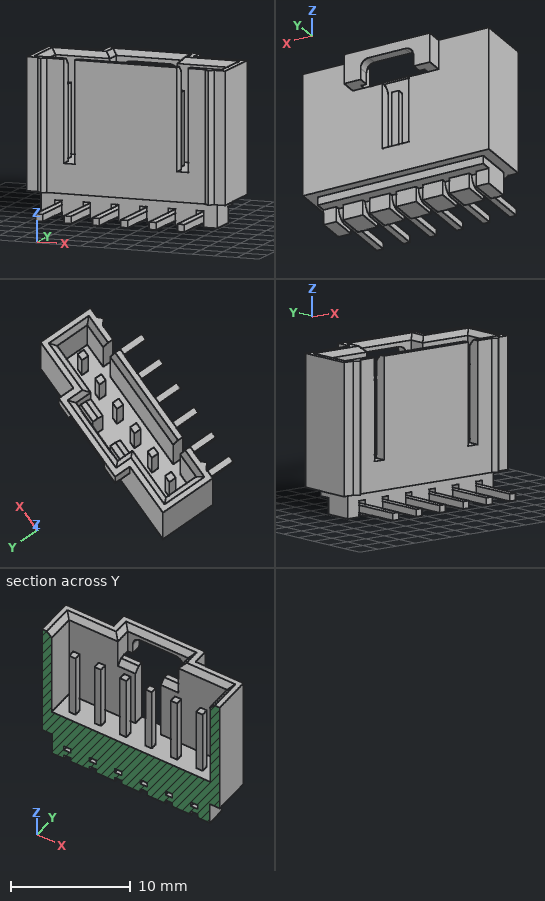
import cadquery as cq


body_width = 17.78
body_depth = 5.1
body_height = 11.43
wall = 1.01
end_wall = 1.0
lead_in = 0.5
cavity_depth = 8.85
inner_width = body_width - 2 * end_wall
front_y = -body_depth / 2
back_y = body_depth / 2
inner_front_y = front_y + wall
inner_back_y = back_y - wall
floor_z = body_height - cavity_depth

key_width = 8.18
key_depth = 1.51
key_height = 2.75
key_bottom_z = body_height - key_height
key_back_y = back_y + key_depth
key_inner_back_y = key_back_y - wall
key_side_wall = 1.07
key_inner_width = key_width - 2 * key_side_wall

notch_width = 5.03
notch_top_drop = 0.9
notch_radius = 0.8
gap_width = 2.52

slot_width = 1.01
rib_height = 0.4

pin_count = 6
pin_row_length = 12.7
pin_pitch = pin_row_length / (pin_count - 1)
pin_size = 0.64
pin_exposed = 6.35
pin_center_z = -1.44
pin_reach = 3.68
bend_inner_radius = 0.37

base_width = inner_width
base_height = 2.15
step_height = 0.75
base_front_inset = 0.73
base_back_inset = 1.81
step_back_inset = 0.82
base_front_y = front_y + base_front_inset
base_back_y = back_y - base_back_inset
step_back_y = back_y - step_back_inset

slot_x = (pin_count - 2) / 2 * pin_pitch
rib_x = base_width / 2 - rib_height
pin_xs = [(i - (pin_count - 1) / 2) * pin_pitch for i in range(pin_count)]


def block(x_min, x_max, y_min, y_max, z_min, z_max):
    """Box given by its limits along each axis."""
    size = (x_max - x_min, y_max - y_min, z_max - z_min)
    return cq.Workplane("XY").box(*size, centered=False).translate((x_min, y_min, z_min))


def centered_block(width, y_min, y_max, z_min, z_max):
    """Box symmetric about X = 0."""
    return block(-width / 2, width / 2, y_min, y_max, z_min, z_max)


def lead_in_cutter(width, y_min, y_max, top_z):
    """Pocket mouth that widens upward at 45 degrees to top_z, from the given inner rectangle."""
    return (
        cq.Workplane("XY", origin=(0, (y_min + y_max) / 2, top_z - lead_in))
        .rect(width, y_max - y_min)
        .workplane(offset=lead_in)
        .rect(width + 2 * lead_in, y_max - y_min + 2 * lead_in)
        .loft(ruled=True)
    )


def make_shroud():
    """Hollow body with its key, lead-in chamfers, wall openings and ribs."""
    shroud = centered_block(body_width, front_y, back_y, 0, body_height)
    shroud = shroud.union(centered_block(key_width, 0, key_back_y, key_bottom_z, body_height))

    shroud = shroud.cut(centered_block(inner_width, inner_front_y, inner_back_y, floor_z, body_height))
    shroud = shroud.cut(centered_block(key_inner_width, 0, key_inner_back_y, key_bottom_z, body_height))

    shroud = shroud.cut(lead_in_cutter(inner_width, inner_front_y, inner_back_y, body_height))
    shroud = shroud.cut(lead_in_cutter(key_inner_width, inner_front_y, key_inner_back_y, body_height))
    low_chamfer = (
        cq.Workplane("YZ", origin=(-key_inner_width / 2, 0, 0))
        .moveTo(inner_back_y, key_bottom_z - lead_in)
        .lineTo(inner_back_y + lead_in, key_bottom_z)
        .lineTo(inner_back_y, key_bottom_z)
        .close()
        .extrude(key_inner_width)
    )
    shroud = shroud.cut(low_chamfer)

    notch = centered_block(
        notch_width, key_inner_back_y, key_back_y,
        key_bottom_z, body_height - notch_top_drop,
    )
    shroud = shroud.cut(notch.edges("|Y and >Z").fillet(notch_radius))
    shroud = shroud.cut(centered_block(gap_width, 0, back_y, floor_z, key_bottom_z))

    for side in (-1, 1):
        slot_center_x = side * slot_x
        rib_center_x = side * rib_x
        slot = block(
            slot_center_x - slot_width / 2, slot_center_x + slot_width / 2,
            front_y, inner_front_y, floor_z, body_height,
        )
        rib = (
            cq.Workplane("XY")
            .moveTo(rib_center_x - rib_height, front_y)
            .lineTo(rib_center_x, front_y - rib_height)
            .lineTo(rib_center_x + rib_height, front_y)
            .close()
            .extrude(body_height)
        )
        shroud = shroud.cut(slot).union(rib)
    return shroud


def make_base():
    """Stepped foot with a channel under the step for each pin."""
    base = centered_block(base_width, base_front_y, step_back_y, -step_height, 0)
    base = base.union(centered_block(base_width, base_front_y, base_back_y, -base_height, 0))
    for x in pin_xs:
        channel = block(
            x - pin_size / 2, x + pin_size / 2,
            base_front_y, base_back_y, -base_height, -step_height,
        )
        base = base.cut(channel)
    return base


def make_pin(x):
    """Square pin rising into the cavity and bent forward under the body."""
    bend_radius = bend_inner_radius + pin_size / 2
    bend_start_z = pin_center_z + bend_radius
    tip_z = floor_z + pin_exposed
    path = (
        cq.Workplane("YZ", origin=(x, 0, 0))
        .moveTo(0, tip_z)
        .lineTo(0, bend_start_z)
        .radiusArc((-bend_radius, pin_center_z), bend_radius)
        .lineTo(front_y - pin_reach, pin_center_z)
    )
    return cq.Workplane("XY", origin=(x, 0, tip_z)).rect(pin_size, pin_size).sweep(path)


result = make_shroud().union(make_base())
for pin_x in pin_xs:
    result = result.union(make_pin(pin_x))